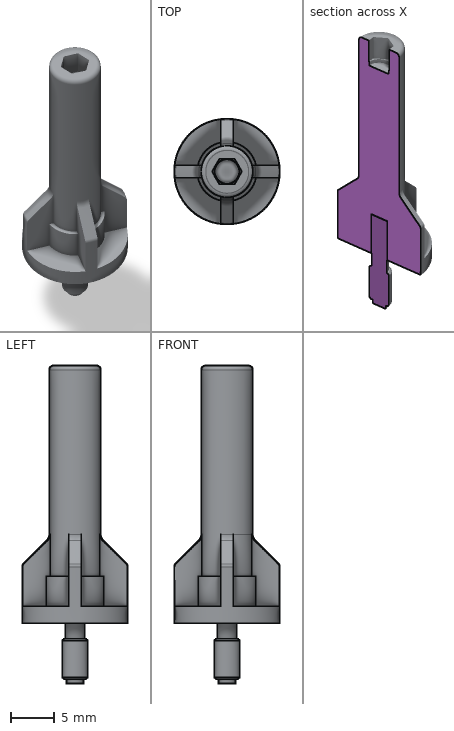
import cadquery as cq
import math


knob_height = 30.0
shaft_radius = 3.0
shaft_top_fillet = 0.5
flange_radius = 6.15
flange_thickness = 2.0
collar_radius = 3.45
collar_top = 5.5

rib_count = 4
rib_width = 1.5
rib_root_height = 9.95
rib_root_fillet = 1.0
rib_tip_fillet = 0.5
rib_tip_height = rib_root_height - (flange_radius - shaft_radius)

tangent_factor = math.tan(math.pi / 8)
root_tangent = rib_root_fillet * tangent_factor
tip_tangent = rib_tip_fillet * tangent_factor
rib_top = rib_root_height + root_tangent

hex_across_flats = 3.0
hex_across_corners = hex_across_flats / math.cos(math.pi / 6)
hex_depth = 3.0
recess_radius = 1.42
recess_depth = 0.5

neck_radius = 1.15
neck_length = 1.75
body_radius = 1.5
body_bottom = 6.5
body_chamfer = 0.25
tip_radius = 1.0
tip_bottom = 7.0
neck_insertion = collar_top


def cylinder(radius, bottom, top):
    """Solid cylinder on the Z axis between two heights."""
    return cq.Workplane("XY").workplane(offset=bottom).circle(radius).extrude(top - bottom)


def make_ribbed_blank():
    """Revolved blank of the shaft and a sloping skirt with rounded corners."""
    diagonal = math.sqrt(0.5)
    tip_arc_start = (flange_radius, rib_tip_height - tip_tangent)
    tip_arc_end = (flange_radius - tip_tangent * diagonal, rib_tip_height + tip_tangent * diagonal)
    root_arc_start = (shaft_radius + root_tangent * diagonal, rib_root_height - root_tangent * diagonal)
    root_arc_end = (shaft_radius, rib_top)

    blank = (
        cq.Workplane("XZ")
        .lineTo(flange_radius, 0)
        .lineTo(*tip_arc_start)
        .radiusArc(tip_arc_end, -rib_tip_fillet)
        .lineTo(*root_arc_start)
        .radiusArc(root_arc_end, rib_root_fillet)
        .lineTo(shaft_radius, knob_height)
        .lineTo(0, knob_height)
        .close()
        .revolve(360, (0, 0, 0), (0, 1, 0))
    )
    return blank.faces(">Z").edges().fillet(shaft_top_fillet)


def make_rib_gap():
    """Space between the ribs along +X and +Y, above the flange and around the collar and shaft."""
    rib_side = rib_width / 2
    gap = (
        cq.Workplane("XY")
        .workplane(offset=flange_thickness)
        .moveTo(rib_side, rib_side)
        .rect(flange_radius, flange_radius, centered=False)
        .extrude(rib_top - flange_thickness)
    )
    shaft_core = cylinder(shaft_radius, 0, knob_height)
    return gap.cut(shaft_core).cut(cylinder(collar_radius, 0, collar_top))


def make_socket():
    """Hexagonal key hole in the top of the shaft, corners along X."""
    hex_floor = knob_height - hex_depth
    hexagon = cq.Workplane("XY").workplane(offset=hex_floor).polygon(6, hex_across_corners).extrude(hex_depth)
    return hexagon.union(cylinder(recess_radius, hex_floor - recess_depth, hex_floor))


def make_knob():
    """Shaft, collar, flange and ribs, with the key socket and the hole for the stud."""
    body = make_ribbed_blank()
    gap = make_rib_gap()
    for index in range(rib_count):
        body = body.cut(gap.rotate((0, 0, 0), (0, 0, 1), index * 360 / rib_count))
    stud_hole = cylinder(neck_radius, 0, neck_insertion)
    return body.cut(make_socket()).cut(stud_hole)


def make_stud():
    """Turned stud hanging below the flange, its neck filling the hole in the knob."""
    body = cylinder(body_radius, -body_bottom, -neck_length)
    body = body.faces("<Z or >Z").edges().chamfer(body_chamfer)
    neck = cylinder(neck_radius, -neck_length, neck_insertion)
    tip = cylinder(tip_radius, -tip_bottom, -body_bottom)
    return body.union(neck).union(tip)


knob = make_knob()
stud = make_stud()

result = cq.Compound.makeCompound([knob.val(), stud.val()])